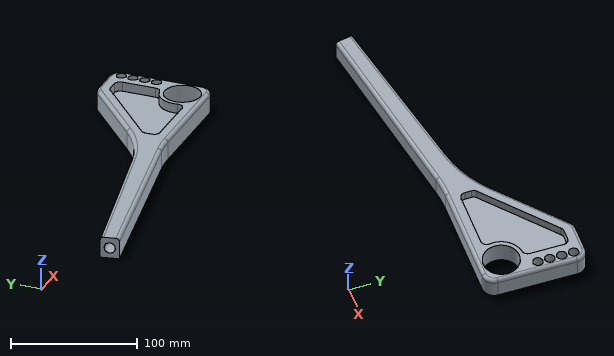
import cadquery as cq
import math

length = 277.8
width = 116.7
thickness = 18.0

head_height = 86.5
head_bottom = width - head_height
top_edge_length = 36
slope_angle = math.radians(40.9)
corner_radius = 10.0

lower_angle = math.radians(10.2)
upper_angle = math.radians(11.8)
end_width = 15.8
blend_radius = 100
edge_radius = 3.0

large_hole_diameter = 30.0
large_hole_offset = 19.5
small_hole_diameter = 8.0
small_hole_count = 4
small_hole_pitch = 10.0
small_hole_side_offset = 8.0
small_hole_top_offset = 10.3
end_hole_diameter = 9.0
end_hole_depth = 30.0

pocket_depth = 8.0
pocket_margin = 10.3
pocket_slope_margin = 9.7
pocket_left = length - 94.5
pocket_right = length - 18.0
pocket_boss_radius = 18.5
pocket_corner_radius = 5.0


def line_crossing(point_a, angle_a, point_b, angle_b):
    """Crossing of two lines, each given by a point and an angle."""
    dx = point_b[0] - point_a[0]
    dy = point_b[1] - point_a[1]
    run = (dx * math.sin(angle_b) - dy * math.cos(angle_b)) / math.sin(angle_b - angle_a)
    return (point_a[0] + run * math.cos(angle_a), point_a[1] + run * math.sin(angle_a))


def round_corner(body, point, radius):
    """Round the vertical edge nearest to a point of the outline."""
    edge = cq.selectors.NearestToPointSelector((*point, thickness / 2))
    return body.edges("|Z").edges(edge).fillet(radius)


end_bottom = (end_width * math.sin(lower_angle), 0)
end_top = (0, end_width * math.cos(lower_angle))
slope_top = (length - top_edge_length, width)
lower_bend = line_crossing(end_bottom, lower_angle, (length, head_bottom), 0)
upper_bend = line_crossing(end_top, upper_angle, slope_top, slope_angle)
head_lower_right = (length, head_bottom)
head_upper_right = (length, width)

outline = [end_bottom, lower_bend, head_lower_right, head_upper_right, slope_top, upper_bend, end_top]
body = cq.Workplane("XY").polyline(outline).close().extrude(thickness)
for corner in (lower_bend, upper_bend):
    body = round_corner(body, corner, blend_radius)
for corner in (head_lower_right, head_upper_right, slope_top):
    body = round_corner(body, corner, corner_radius)

end_middle = ((end_bottom[0] + end_top[0]) / 2, (end_bottom[1] + end_top[1]) / 2)
end_edge = cq.selectors.NearestToPointSelector((*end_middle, thickness))
top_face_edges = body.faces(">Z").edges()
end_face_edge = body.edges(end_edge).val()
rounded_edges = [edge for edge in top_face_edges.vals() if not edge.isSame(end_face_edge)]
body = body.newObject(rounded_edges).fillet(edge_radius)

large_hole_center = (length - large_hole_offset, head_bottom + large_hole_offset)
pocket_top = width - pocket_margin
pocket_bottom = head_bottom + pocket_margin
slope_inside = (
    slope_top[0] + pocket_slope_margin * math.sin(slope_angle),
    slope_top[1] - pocket_slope_margin * math.cos(slope_angle),
)
pocket_outline = [
    (pocket_left, pocket_bottom),
    (pocket_right, pocket_bottom),
    (pocket_right, pocket_top),
    line_crossing(slope_inside, slope_angle, (pocket_right, pocket_top), 0),
    line_crossing(slope_inside, slope_angle, (pocket_left, pocket_bottom), math.pi / 2),
]
pocket_floor = cq.Workplane("XY", origin=(0, 0, thickness - pocket_depth))
boss = pocket_floor.center(*large_hole_center).circle(pocket_boss_radius).extrude(pocket_depth)
pocket = pocket_floor.polyline(pocket_outline).close().extrude(pocket_depth).cut(boss)
pocket = pocket.edges("|Z").fillet(pocket_corner_radius)
body = body.cut(pocket)

small_hole_centers = [
    (length - small_hole_side_offset, width - small_hole_top_offset - i * small_hole_pitch)
    for i in range(small_hole_count)
]
large_hole = cq.Workplane("XY").center(*large_hole_center).circle(large_hole_diameter / 2).extrude(thickness)
small_holes = (
    cq.Workplane("XY").pushPoints(small_hole_centers).circle(small_hole_diameter / 2).extrude(thickness)
)
body = body.cut(large_hole).cut(small_holes)

handle_direction = cq.Vector(math.cos(lower_angle), math.sin(lower_angle), 0)
end_hole = cq.Solid.makeCylinder(
    end_hole_diameter / 2, end_hole_depth, cq.Vector(*end_middle, thickness / 2), handle_direction
)
result = body.cut(cq.Workplane(end_hole))